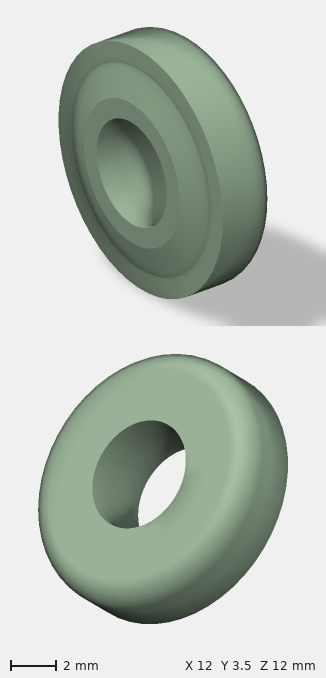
import cadquery as cq

outer_diameter = 11.98
ring_depth = 3.0
back_rounding = 1.0

insert_diameter = 9.99
nose_diameter = 7.0
nose_height = 0.5
bore_diameter = 5.1

outer_radius = outer_diameter / 2
insert_radius = insert_diameter / 2
nose_radius = nose_diameter / 2
bore_radius = bore_diameter / 2


def revolve_about_y(profile):
    """Turn a closed profile, drawn as radius (X) against depth (Y), around the Y axis."""
    return profile.close().revolve(360, (0, 0, 0), (0, 1, 0))


def make_outer_ring():
    """Ring around the insert, with its outer back edge rounded to a quarter circle."""
    profile = (
        cq.Workplane("XY")
        .moveTo(insert_radius, 0)
        .lineTo(outer_radius, 0)
        .lineTo(outer_radius, ring_depth - back_rounding)
        .radiusArc((outer_radius - back_rounding, ring_depth), -back_rounding)
    )
    return revolve_about_y(profile)


def make_insert():
    """Bored insert through the full ring depth, with a conical nose in front of it."""
    profile = (
        cq.Workplane("XY")
        .moveTo(bore_radius, -nose_height)
        .lineTo(nose_radius, -nose_height)
        .lineTo(insert_radius, 0)
        .lineTo(insert_radius, ring_depth)
        .lineTo(bore_radius, ring_depth)
    )
    return revolve_about_y(profile)


outer_ring = make_outer_ring()
insert = make_insert()

result = cq.Compound.makeCompound([outer_ring.val(), insert.val()])